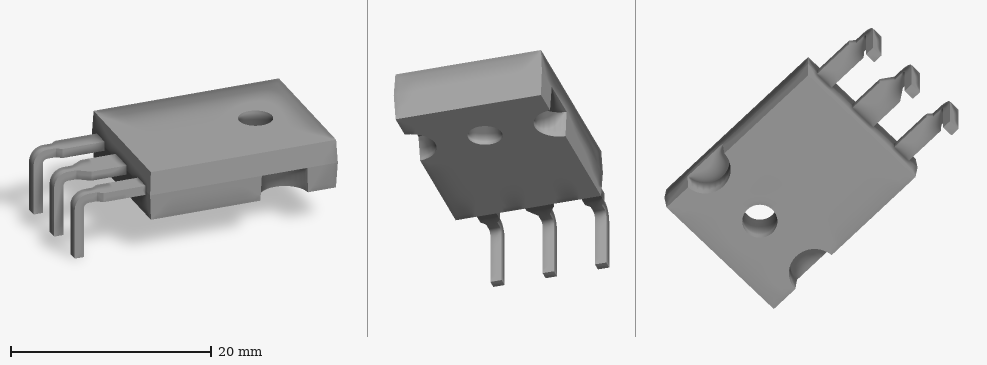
import cadquery as cq
import math

TOTAL_LENGTH = 27.65
TOTAL_HEIGHT = 8.9

HOUSING_WIDTH = 15.5
HOUSING_LENGTH = 20.2
UPPER_HEIGHT = 2.5
LOWER_HEIGHT = 2.8
DRAFT_ANGLE = 3.0
PARTING_Z = -UPPER_HEIGHT

HOLE_DIAMETER = 3.5
RING_DIAMETER = 7.4
HOLE_Y = HOUSING_LENGTH - 5.72

RECESS_RADIUS = 2.45
RECESS_DRAFT_ANGLE = 2.0

PAD_WIDTH = 13.43
PAD_LENGTH = 13.18
PAD_BACK_INSET = 0.77
PAD_CHAMFER = 1.5
PAD_THICKNESS = UPPER_HEIGHT
PAD_CENTER_Y = HOUSING_LENGTH - PAD_BACK_INSET - PAD_LENGTH / 2

LEAD_PITCH = 5.47
LEAD_THICKNESS = 1.0
LEAD_TOP_Z = -2.0
LEG_WIDTH = 1.2
BEND_OUTER_RADIUS = 1.5
BLADE_LENGTH = 5.03
BLADE_SEAT_DEPTH = LEAD_THICKNESS
SIDE_BLADE_WIDTH = 2.05
SIDE_TAPER_LENGTH = 0.53
MIDDLE_BLADE_WIDTH = 2.9
MIDDLE_TAPER_LENGTH = 1.25
LEG_FRONT_Y = HOUSING_LENGTH - TOTAL_LENGTH

LEADS = [
    (-LEAD_PITCH, SIDE_BLADE_WIDTH, SIDE_TAPER_LENGTH),
    (0.0, MIDDLE_BLADE_WIDTH, MIDDLE_TAPER_LENGTH),
    (LEAD_PITCH, SIDE_BLADE_WIDTH, SIDE_TAPER_LENGTH),
]


def make_half(signed_height):
    """Drafted block growing from the parting plane, with the mounting hole."""
    block = (
        cq.Workplane("XY", origin=(0, HOUSING_LENGTH / 2, PARTING_Z))
        .rect(HOUSING_WIDTH, HOUSING_LENGTH)
        .extrude(signed_height, taper=DRAFT_ANGLE)
    )
    hole = (
        cq.Workplane("XY", origin=(0, HOLE_Y, PARTING_Z))
        .circle(HOLE_DIAMETER / 2)
        .extrude(signed_height)
    )
    return block.cut(hole)


def make_clip_recess(x):
    """Half-cone cutter that widens towards the bottom of the housing."""
    return (
        cq.Workplane("XY", origin=(x, HOLE_Y, PARTING_Z))
        .circle(RECESS_RADIUS)
        .extrude(-LOWER_HEIGHT, taper=-RECESS_DRAFT_ANGLE)
    )


def make_pad_and_ring():
    """Pad with chamfered back corners, and the ring that fills its opening."""
    ring_blank = (
        cq.Workplane("XY", origin=(0, HOLE_Y, 0)).circle(RING_DIAMETER / 2).extrude(-PAD_THICKNESS)
    )
    hole = (
        cq.Workplane("XY", origin=(0, HOLE_Y, 0)).circle(HOLE_DIAMETER / 2).extrude(-PAD_THICKNESS)
    )
    pad_blank = (
        cq.Workplane("XY", origin=(0, PAD_CENTER_Y, 0))
        .rect(PAD_WIDTH, PAD_LENGTH)
        .extrude(-PAD_THICKNESS)
        .edges("|Z and >Y")
        .chamfer(PAD_CHAMFER)
    )
    return pad_blank.cut(ring_blank), ring_blank.cut(hole)


def make_blade(x, width, taper_length):
    """Flat blade, tapering to the leg width, with its root seated in the housing."""
    half_blade = width / 2
    half_leg = LEG_WIDTH / 2
    taper_y = taper_length - BLADE_LENGTH
    return (
        cq.Workplane("XY", origin=(x, 0, LEAD_TOP_Z))
        .polyline(
            [
                (-half_blade, BLADE_SEAT_DEPTH),
                (-half_blade, taper_y),
                (-half_leg, -BLADE_LENGTH),
                (half_leg, -BLADE_LENGTH),
                (half_blade, taper_y),
                (half_blade, BLADE_SEAT_DEPTH),
            ]
        )
        .close()
        .extrude(-LEAD_THICKNESS)
    )


def make_leg(x):
    """Leg that leaves the blade, bends through 90 degrees and points down."""
    inner_radius = BEND_OUTER_RADIUS - LEAD_THICKNESS
    bend_y = LEG_FRONT_Y + BEND_OUTER_RADIUS
    bend_z = LEAD_TOP_Z - BEND_OUTER_RADIUS
    inner_y = LEG_FRONT_Y + LEAD_THICKNESS
    bottom_z = LEAD_TOP_Z - LEAD_THICKNESS
    diagonal = math.sqrt(0.5)
    outer_mid = (bend_y - BEND_OUTER_RADIUS * diagonal, bend_z + BEND_OUTER_RADIUS * diagonal)
    inner_mid = (bend_y - inner_radius * diagonal, bend_z + inner_radius * diagonal)
    return (
        cq.Workplane("YZ", origin=(x, 0, 0))
        .moveTo(-BLADE_LENGTH, LEAD_TOP_Z)
        .lineTo(bend_y, LEAD_TOP_Z)
        .threePointArc(outer_mid, (LEG_FRONT_Y, bend_z))
        .lineTo(LEG_FRONT_Y, -TOTAL_HEIGHT)
        .lineTo(inner_y, -TOTAL_HEIGHT)
        .lineTo(inner_y, bend_z)
        .threePointArc(inner_mid, (bend_y, bottom_z))
        .lineTo(-BLADE_LENGTH, bottom_z)
        .close()
        .extrude(LEG_WIDTH / 2, both=True)
    )


pad, ring = make_pad_and_ring()
upper_housing = make_half(UPPER_HEIGHT).cut(pad).cut(ring)
lower_housing = make_half(-LOWER_HEIGHT)
for side in (-1, 1):
    lower_housing = lower_housing.cut(make_clip_recess(side * HOUSING_WIDTH / 2))

blades = [make_blade(*lead) for lead in LEADS]
for blade in blades:
    upper_housing = upper_housing.cut(blade)
    lower_housing = lower_housing.cut(blade)
legs = [make_leg(x) for x, _, _ in LEADS]

result = cq.Compound.makeCompound(
    [
        upper_housing.val(),
        lower_housing.val(),
        pad.val(),
        ring.val(),
        *[blade.val() for blade in blades],
        *[leg.val() for leg in legs],
    ]
)